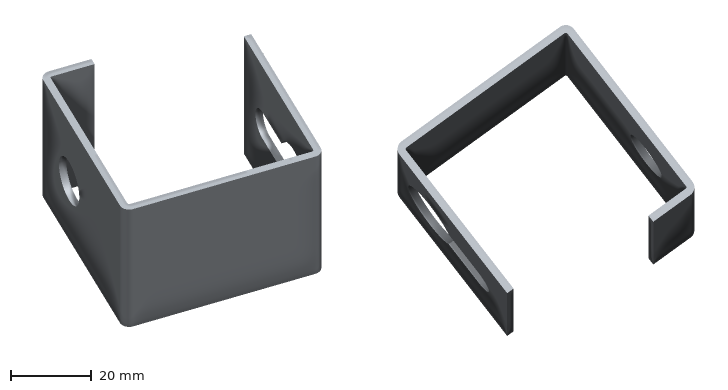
import cadquery as cq

width = 54.0
height = 40.0

thickness = 2.0
outer_bend = 2.5
inner_bend = outer_bend - thickness

back_length = 47.0
lip_length = 14.0

access_x = 19.0
access_diameter = 13.0
keyhole_slot_width = 9.0
keyhole_head_diameter = 18.0
keyhole_pitch = 20.0

half = width / 2
hole_z = height / 2
slot_x = access_x - half
head_x = slot_x + keyhole_pitch


def bent_strip():
    """Open box profile of constant thickness, extruded upward with rounded bends."""
    inner = half - thickness
    back_end = half - back_length
    lip_end = -half + lip_length
    profile = [
        (back_end, half),
        (half, half),
        (half, -half),
        (-half, -half),
        (-half, lip_end),
        (-inner, lip_end),
        (-inner, -inner),
        (inner, -inner),
        (inner, inner),
        (back_end, inner),
    ]
    strip = cq.Workplane("XY").polyline(profile).close().extrude(height)

    def round_bends(body, offset, radius):
        corners = [(offset, offset), (offset, -offset), (-offset, -offset)]
        for x, y in corners:
            near_corner = cq.selectors.BoxSelector((x - 0.05, y - 0.05, 0), (x + 0.05, y + 0.05, height))
            body = body.edges("|Z").edges(near_corner).fillet(radius)
        return body

    strip = round_bends(strip, half, outer_bend)
    return round_bends(strip, inner, inner_bend)


def wall_cylinder(x, diameter, y_start, depth):
    """Cylinder along +Y, centred at mid height."""
    centre = cq.Vector(x, y_start, hole_z)
    return cq.Workplane(obj=cq.Solid.makeCylinder(diameter / 2, depth, centre, cq.Vector(0, 1, 0)))


def keyhole(y_start, depth):
    """Round head on the right joined to a round-ended slot on the left."""
    slot = cq.Workplane("XY").box(keyhole_pitch, depth, keyhole_slot_width)
    slot = slot.translate(((slot_x + head_x) / 2, y_start + depth / 2, hole_z))
    slot_end = wall_cylinder(slot_x, keyhole_slot_width, y_start, depth)
    head = wall_cylinder(head_x, keyhole_head_diameter, y_start, depth)
    return head.union(slot).union(slot_end)


cut_depth = 3 * thickness
access_hole = wall_cylinder(slot_x, access_diameter, -half - thickness, cut_depth)
back_keyhole = keyhole(half - 2 * thickness, cut_depth)

result = bent_strip().cut(access_hole).cut(back_keyhole)